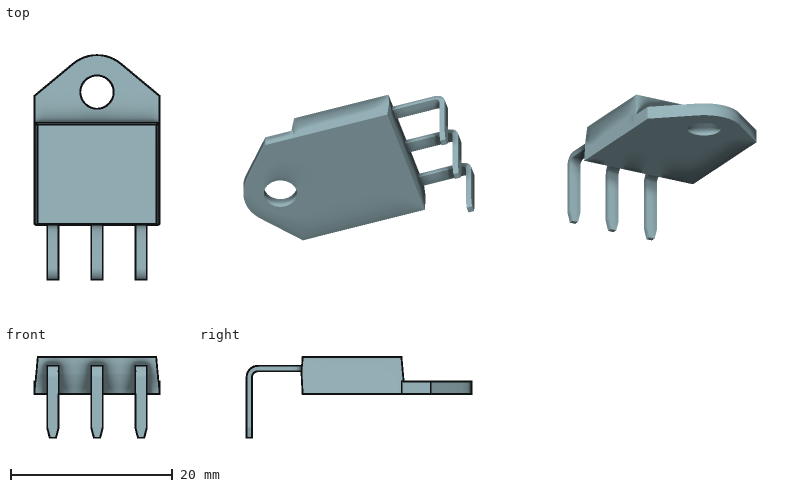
import cadquery as cq
import math

width = 15.5
total_length = 27.8

tab_thickness = 1.59
tab_nose_radius = 4.6
hole_diameter = 4.1
shoulder_y = -0.47
tab_end_y = -4.05

housing_height = 4.6
housing_front_y = -16.3
parting_height = 2.5
parting_bulge = 0.15
side_draft = 0.42
rear_overhang = side_draft * (housing_height - tab_thickness) / housing_height

lead_count = 3
lead_pitch = 5.45
lead_width = 1.45
lead_thickness = 0.7
lead_top_z = 3.5
lead_bottom_z = -5.42
lead_outer_y = tab_nose_radius - total_length
bend_outer_radius = 1.42
bend_inner_radius = bend_outer_radius - lead_thickness
tip_length = 1.28
tip_width = 0.78


def make_tab():
    """Plate with a round nose, flanks tangent to it, and a mounting hole."""
    half_width = width / 2
    shoulder_distance = math.hypot(half_width, shoulder_y)
    tangent_angle = math.atan2(shoulder_y, half_width) + math.acos(tab_nose_radius / shoulder_distance)
    tangent_x = tab_nose_radius * math.cos(tangent_angle)
    tangent_y = tab_nose_radius * math.sin(tangent_angle)
    return (
        cq.Workplane("XY")
        .moveTo(-half_width, tab_end_y)
        .lineTo(half_width, tab_end_y)
        .lineTo(half_width, shoulder_y)
        .lineTo(tangent_x, tangent_y)
        .threePointArc((0, tab_nose_radius), (-tangent_x, tangent_y))
        .lineTo(-half_width, shoulder_y)
        .close()
        .extrude(tab_thickness)
        .cut(cq.Workplane("XY").circle(hole_diameter / 2).extrude(tab_thickness))
    )


def make_lead(center_x):
    """Flat lead bent down through a right angle, ending in a tapered tip."""
    inner_y = lead_outer_y + lead_thickness
    underside_z = lead_top_z - lead_thickness
    bend_y = lead_outer_y + bend_outer_radius
    bend_z = lead_top_z - bend_outer_radius
    diagonal = math.sqrt(0.5)
    outer_middle = (bend_y - bend_outer_radius * diagonal, bend_z + bend_outer_radius * diagonal)
    inner_middle = (bend_y - bend_inner_radius * diagonal, bend_z + bend_inner_radius * diagonal)
    strip = (
        cq.Workplane("YZ")
        .moveTo(housing_front_y, lead_top_z)
        .lineTo(bend_y, lead_top_z)
        .threePointArc(outer_middle, (lead_outer_y, bend_z))
        .lineTo(lead_outer_y, lead_bottom_z)
        .lineTo(inner_y, lead_bottom_z)
        .lineTo(inner_y, bend_z)
        .threePointArc(inner_middle, (bend_y, underside_z))
        .lineTo(housing_front_y, underside_z)
        .close()
        .extrude(lead_width / 2, both=True)
    )
    front_outline = (
        cq.Workplane("XZ", origin=(0, housing_front_y, 0))
        .polyline([
            (-tip_width / 2, lead_bottom_z),
            (tip_width / 2, lead_bottom_z),
            (lead_width / 2, lead_bottom_z + tip_length),
            (lead_width / 2, lead_top_z),
            (-lead_width / 2, lead_top_z),
            (-lead_width / 2, lead_bottom_z + tip_length),
        ])
        .close()
        .extrude(housing_front_y - lead_outer_y)
    )
    return strip.intersect(front_outline).translate((center_x, 0, 0))


def make_housing(leads):
    """Drafted block stepped over the tab end, with a shallow seat for each lead."""
    housing_parting_y = housing_front_y - parting_bulge
    housing_rear_y = tab_end_y + rear_overhang
    body = (
        cq.Workplane("YZ")
        .polyline([
            (housing_front_y, 0),
            (tab_end_y, 0),
            (tab_end_y, tab_thickness),
            (housing_rear_y, tab_thickness),
            (tab_end_y, housing_height),
            (housing_front_y, housing_height),
            (housing_parting_y, parting_height),
        ])
        .close()
        .extrude(width / 2, both=True)
    )
    half_top = width / 2 - side_draft
    drafted_sides = (
        cq.Workplane("XZ", origin=(0, housing_rear_y, 0))
        .polyline([
            (-width / 2, 0),
            (width / 2, 0),
            (half_top, housing_height),
            (-half_top, housing_height),
        ])
        .close()
        .extrude(housing_rear_y - housing_parting_y)
    )
    housing = body.intersect(drafted_sides)
    for lead in leads:
        housing = housing.cut(lead)
    return housing


tab = make_tab()
leads = []
for index in range(lead_count):
    lead_x = (index - (lead_count - 1) / 2) * lead_pitch
    leads.append(make_lead(lead_x))
housing = make_housing(leads)

bodies = [body.solids().val() for body in [housing, tab, *leads]]
result = cq.Compound.makeCompound([*bodies])